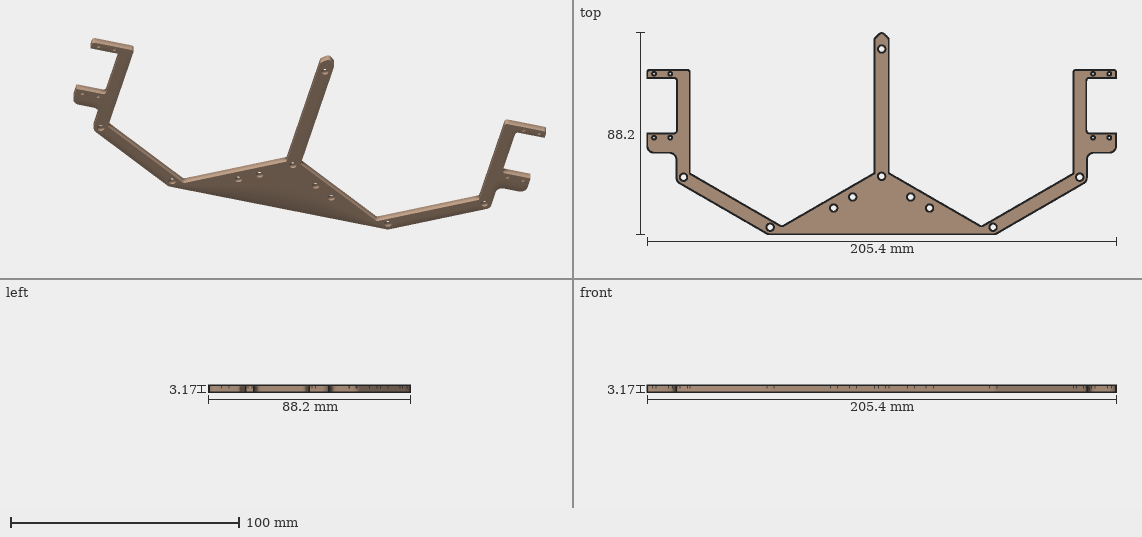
import cadquery as cq
import math

thickness = 3.17
overall_width = 205.45
overall_length = 88.24

joint_hole_diameter = 3.17
arm_slope = math.radians(30)
slope_rise = math.tan(arm_slope)
base_hole_x = 48.8
base_hole_y = -22.3
elbow_hole_x = 86.75
elbow_hole_y = base_hole_y + (elbow_hole_x - base_hole_x) * slope_rise
tip_hole_y = 55.75
plate_holes = [(12.7, -9.05), (21.0, -13.9)]

outer_offset = 3.175
inner_offset = 2.78
central_arm_width = 6.35
base_y = base_hole_y - outer_offset
tip_y = base_y + overall_length

finger_end_x = overall_width / 2
post_inner_x = elbow_hole_x - inner_offset
post_outer_x = elbow_hole_x + outer_offset
slot_floor_x = 89.7
upper_finger_top = 46.65
upper_finger_bottom = 43.05
lower_finger_top = 18.85
lower_finger_bottom = 10.25

bracket_hole_diameter = 1.59
bracket_hole_insets = [3.05, 10.15]
bracket_hole_ys = [44.9, 16.9]

small_radius = 1.19
tip_point_radius = 1.59
finger_root_radius = 2.9
lower_finger_radius = 3.175


def sloped_arm_y(x, offset):
    """Height at x of a line parallel to the base-to-elbow centre line, offset at right angles to it."""
    return base_hole_y + (x - base_hole_x) * slope_rise + offset / math.cos(arm_slope)


def plate_edge_y(x):
    """Height at x of the central plate's sloped edge, which falls away from the origin hole."""
    return inner_offset / math.cos(arm_slope) - x * slope_rise


def make_blank():
    """Right half of the outline, filleted and mirrored to the left."""
    half_arm = central_arm_width / 2
    valley_x = (plate_edge_y(0) - sloped_arm_y(0, inner_offset)) / (2 * slope_rise)
    base_corner_x = base_hole_x + (base_y - sloped_arm_y(base_hole_x, -outer_offset)) / slope_rise

    base_corner = (base_corner_x, base_y)
    elbow_corner = (post_outer_x, sloped_arm_y(post_outer_x, -outer_offset))
    finger_root = (post_outer_x, lower_finger_bottom)
    lower_finger_corner = (finger_end_x, lower_finger_bottom)
    slot_lower_corner = (slot_floor_x, lower_finger_top)
    slot_upper_corner = (slot_floor_x, upper_finger_bottom)
    upper_finger_corner = (finger_end_x, upper_finger_top)
    post_top = (post_inner_x, upper_finger_top)
    valley = (valley_x, plate_edge_y(valley_x))

    point_y = tip_y + tip_point_radius * (math.sqrt(2) - 1)
    tip_shoulder = (half_arm, point_y - half_arm)

    outline = [
        (0, base_y),
        base_corner,
        elbow_corner,
        finger_root,
        lower_finger_corner,
        (finger_end_x, lower_finger_top),
        slot_lower_corner,
        slot_upper_corner,
        (finger_end_x, upper_finger_bottom),
        upper_finger_corner,
        post_top,
        (post_inner_x, sloped_arm_y(post_inner_x, inner_offset)),
        valley,
        (half_arm, plate_edge_y(half_arm)),
        tip_shoulder,
        (0, point_y),
    ]
    rounded_corners = [
        (base_corner, outer_offset),
        (elbow_corner, outer_offset),
        (finger_root, finger_root_radius),
        (lower_finger_corner, lower_finger_radius),
        (slot_lower_corner, small_radius),
        (slot_upper_corner, small_radius),
        (upper_finger_corner, small_radius),
        (post_top, small_radius),
        (valley, small_radius),
        (tip_shoulder, small_radius),
    ]
    half = cq.Workplane("XY").polyline(outline).close().extrude(thickness)
    for (x, y), radius in rounded_corners:
        corner_edge = cq.selectors.NearestToPointSelector((x, y, thickness / 2))
        half = half.edges("|Z").edges(corner_edge).fillet(radius)

    blank = half.union(half.mirror("YZ")).clean()
    return blank.edges("|Z").edges(">Y").fillet(tip_point_radius)


def both_sides(points):
    return [(side * x, y) for x, y in points for side in (1, -1)]


def drill(body, points, diameter):
    """Cut through holes at the given points."""
    return body.cut(cq.Workplane("XY").pushPoints(points).circle(diameter / 2).extrude(thickness))


centre_holes = [(0, 0), (0, tip_hole_y)]
side_holes = plate_holes + [(base_hole_x, base_hole_y), (elbow_hole_x, elbow_hole_y)]
bracket_holes = [(finger_end_x - inset, y) for inset in bracket_hole_insets for y in bracket_hole_ys]

frame = make_blank()
frame = drill(frame, centre_holes + both_sides(side_holes), joint_hole_diameter)
result = drill(frame, both_sides(bracket_holes), bracket_hole_diameter)